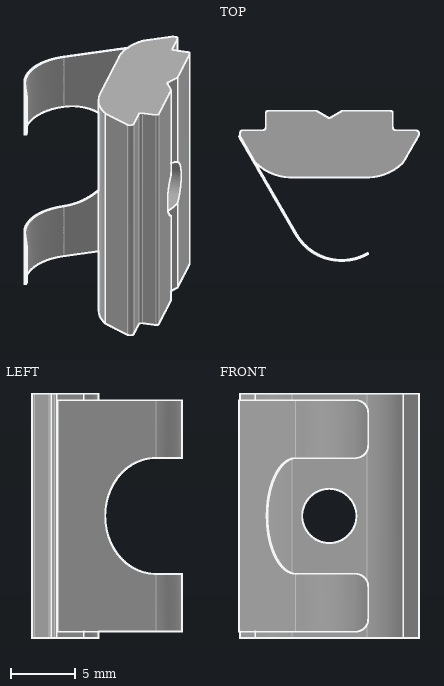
import cadquery as cq
import math


BODY_LENGTH = 19.0
BODY_HALF_WIDTH = 6.987
BODY_DEPTH = 5.2
NECK_HALF_WIDTH = 4.95
NECK_DEPTH = 1.5
FLANK_ANGLE = math.radians(60)
WING_TIP_RADIUS = 0.3
CLIP_SIDE_TIP_RADIUS = 0.25
NECK_FILLET = 0.2
FLAT_HALF_WIDTH = 2.92
BELLY_RADIUS = 4.0
GROOVE_HALF_WIDTH = 1.0
GROOVE_ANGLE = math.radians(30)
HOLE_DIAMETER = 4.2

CLIP_LENGTH = 18.0
CLIP_THICKNESS = 0.1
CLIP_DROP = 11.69
BEND_RADIUS = 4.15
TAB_END_ANGLE = math.radians(30)
WINDOW_RADIUS = 4.5
TAB_CORNER_RADIUS = 1.0

COS_FLANK = math.cos(FLANK_ANGLE)
SIN_FLANK = math.sin(FLANK_ANGLE)

TIP_CENTER_X = BODY_HALF_WIDTH - WING_TIP_RADIUS
TIP_CENTER_Y = -NECK_DEPTH - WING_TIP_RADIUS
FLANK_TOP_X = TIP_CENTER_X + WING_TIP_RADIUS * SIN_FLANK
FLANK_TOP_Y = TIP_CENTER_Y - WING_TIP_RADIUS * COS_FLANK


def belly_point(angle):
    """Point on the right belly arc, at an angle from straight down."""
    x = FLAT_HALF_WIDTH + BELLY_RADIUS * math.sin(angle)
    y = -BODY_DEPTH + BELLY_RADIUS * (1 - math.cos(angle))
    return x, y


def flank_meets_belly():
    """Angle on the belly arc at which the straight flank reaches it."""
    center_x = FLAT_HALF_WIDTH
    center_y = BELLY_RADIUS - BODY_DEPTH
    distance = (FLANK_TOP_X - center_x) * SIN_FLANK - (FLANK_TOP_Y - center_y) * COS_FLANK
    return FLANK_ANGLE - math.acos(distance / BELLY_RADIUS)


def make_half_body(has_tip_flat):
    """Right half of the body; the wing tip is fully round or ends in an upright flat."""
    belly_end = flank_meets_belly()
    groove_depth = GROOVE_HALF_WIDTH * math.tan(GROOVE_ANGLE)
    profile = (
        cq.Workplane("XY")
        .workplane(offset=-BODY_LENGTH / 2)
        .moveTo(0, -groove_depth)
        .lineTo(GROOVE_HALF_WIDTH, 0)
        .lineTo(NECK_HALF_WIDTH - NECK_FILLET, 0)
        .radiusArc((NECK_HALF_WIDTH, -NECK_FILLET), NECK_FILLET)
        .lineTo(NECK_HALF_WIDTH, -NECK_DEPTH + NECK_FILLET)
        .radiusArc((NECK_HALF_WIDTH + NECK_FILLET, -NECK_DEPTH), -NECK_FILLET)
    )
    if has_tip_flat:
        profile = (
            profile
            .lineTo(FLANK_TOP_X - CLIP_SIDE_TIP_RADIUS, -NECK_DEPTH)
            .radiusArc((FLANK_TOP_X, -NECK_DEPTH - CLIP_SIDE_TIP_RADIUS), CLIP_SIDE_TIP_RADIUS)
            .lineTo(FLANK_TOP_X, FLANK_TOP_Y)
        )
    else:
        profile = (
            profile
            .lineTo(TIP_CENTER_X, -NECK_DEPTH)
            .radiusArc((FLANK_TOP_X, FLANK_TOP_Y), WING_TIP_RADIUS)
        )
    return (
        profile
        .lineTo(*belly_point(belly_end))
        .threePointArc(belly_point(belly_end / 2), belly_point(0))
        .lineTo(0, -BODY_DEPTH)
        .close()
        .extrude(BODY_LENGTH)
    )


def make_body():
    right_half = make_half_body(has_tip_flat=False)
    left_half = make_half_body(has_tip_flat=True).mirror("YZ")
    hole = cq.Workplane("XZ").circle(HOLE_DIAMETER / 2).extrude(BODY_DEPTH)
    return right_half.union(left_half).clean().cut(hole)


def round_tab_corners(sheet, tab_start_x, tab_end_x):
    """Round the free corners of both tabs, as seen along Y."""
    tab_width = CLIP_LENGTH / 2 - WINDOW_RADIUS
    tab_center_z = (CLIP_LENGTH / 2 + WINDOW_RADIUS) / 2
    tab_length = tab_end_x - tab_start_x
    leg_width = 2 * BODY_HALF_WIDTH
    leg = cq.Workplane("XY").box(leg_width, 2 * CLIP_DROP, CLIP_LENGTH)
    outline = leg.translate((tab_start_x - leg_width / 2, -CLIP_DROP, 0))
    for side in (-1, 1):
        tab = cq.Workplane("XY").box(tab_length, 2 * CLIP_DROP, tab_width)
        tab = tab.edges("|Y and >X").fillet(TAB_CORNER_RADIUS)
        tab_center_x = tab_start_x + tab_length / 2
        outline = outline.union(tab.translate((tab_center_x, -CLIP_DROP, side * tab_center_z)))
    return sheet.intersect(outline)


def make_clip():
    inner_top = (-FLANK_TOP_X, FLANK_TOP_Y)
    outer_top = (
        inner_top[0] - CLIP_THICKNESS * SIN_FLANK,
        inner_top[1] - CLIP_THICKNESS * COS_FLANK,
    )
    center_y = BEND_RADIUS - CLIP_DROP
    bend_y = center_y - BEND_RADIUS * COS_FLANK
    bend_x = outer_top[0] + (outer_top[1] - bend_y) / math.tan(FLANK_ANGLE)
    center_x = bend_x + BEND_RADIUS * SIN_FLANK
    inner_radius = BEND_RADIUS - CLIP_THICKNESS

    def curl_point(radius, angle):
        return center_x + radius * math.sin(angle), center_y - radius * math.cos(angle)

    sheet = (
        cq.Workplane("XY")
        .workplane(offset=-CLIP_LENGTH / 2)
        .moveTo(*outer_top)
        .lineTo(*curl_point(BEND_RADIUS, -FLANK_ANGLE))
        .threePointArc(curl_point(BEND_RADIUS, 0), curl_point(BEND_RADIUS, TAB_END_ANGLE))
        .lineTo(*curl_point(inner_radius, TAB_END_ANGLE))
        .threePointArc(curl_point(inner_radius, 0), curl_point(inner_radius, -FLANK_ANGLE))
        .lineTo(*inner_top)
        .close()
        .extrude(CLIP_LENGTH)
    )

    leg_plane = cq.Plane(
        origin=(bend_x, bend_y, 0),
        xDir=(COS_FLANK, -SIN_FLANK, 0),
        normal=(SIN_FLANK, COS_FLANK, 0),
    )
    window_reach = 2 * BEND_RADIUS
    window = cq.Workplane(leg_plane).circle(WINDOW_RADIUS).extrude(BEND_RADIUS, both=True)
    slot = (
        cq.Workplane(leg_plane)
        .center(window_reach / 2, 0)
        .rect(window_reach, 2 * WINDOW_RADIUS)
        .extrude(window_reach, both=True)
    )
    tabs_sheet = sheet.cut(window).cut(slot)
    tab_end_x = curl_point(BEND_RADIUS, TAB_END_ANGLE)[0]
    return round_tab_corners(tabs_sheet, center_x, tab_end_x)


result = make_body().union(make_clip())